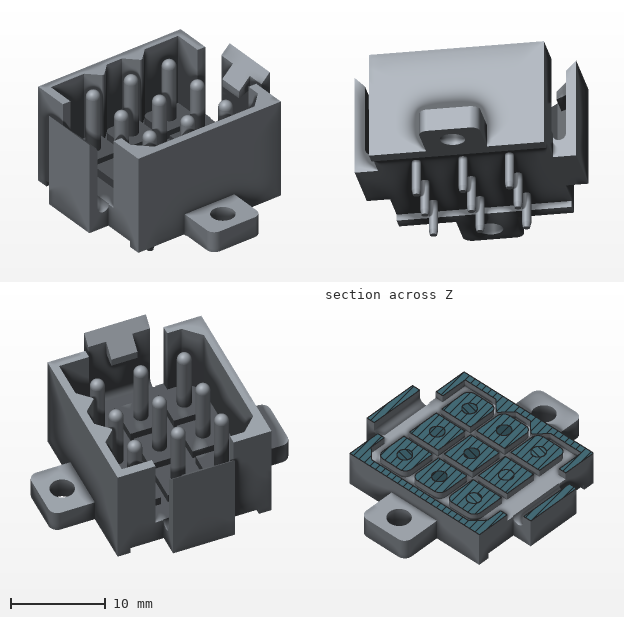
import cadquery as cq

body_x = 17.7
body_y = 18.8
body_top = 11.8
relief_height = 0.7
relief_width = 14.8

end_wall = 0.9
side_wall = 1.0
cavity_x = body_x - 2 * end_wall
cavity_y = body_y - 2 * side_wall
floor_z = 3.4
corner_chamfer = 1.8
lower_corner_chamfer = 1.4
window_width = 9.0

pitch = 5.0
grid = [-pitch, 0, pitch]
pad_size = 4.2
pad_height = 1.0
pad_radius = 0.9
pad_top = floor_z + pad_height

key_base = 3.0
key_tip = 0.2
key_depth = 1.4

ear_span = 27.5
ear_width = 6.55
ear_height = 2.5
ear_radius = 1.0
ear_hole_diameter = 2.7
ear_hole_spacing = 22.4

latch_reach = 2.5
latch_width = 7.1
latch_thickness = 1.1
latch_slot_radius = 0.75
hook_width = 3.0
hook_tip_height = 0.9
hook_under_rise = 0.6
body_face = body_y / 2
latch_face = body_face + latch_reach
arm_face = latch_face - latch_thickness
hook_top = body_top - latch_reach
hook_bottom = hook_top - hook_tip_height

pin_diameter = 1.6
tail_diameter = 1.0
tail_tip_diameter = 0.75
tail_bottom = -3.2
tail_taper = 0.55
pin_shoulder_z = floor_z
pin_top = 11.6


def block(size_x, size_y, bottom, top):
    """Box centred on the Z axis between two heights."""
    return (
        cq.Workplane("XY")
        .workplane(offset=bottom)
        .rect(size_x, size_y)
        .extrude(top - bottom)
    )


def make_cavity(bottom, top, chamfer):
    """Cavity volume with both +X corners cut off."""
    return block(cavity_x, cavity_y, bottom, top).edges("|Z and >X").chamfer(chamfer)


def make_key(y):
    """Trapezoidal polarising rib that runs the full height of the cavity."""
    wall_x = -cavity_x / 2
    tip_x = wall_x + key_depth
    return (
        cq.Workplane("XY")
        .workplane(offset=floor_z)
        .polyline([
            (wall_x, y - key_base / 2),
            (tip_x, y - key_tip / 2),
            (tip_x, y + key_tip / 2),
            (wall_x, y + key_base / 2),
        ])
        .close()
        .extrude(body_top - floor_z)
    )


def make_pad(x, y):
    """Raised pad; pads of the outer columns are rounded on their outer side."""
    pad = block(pad_size, pad_size, floor_z, pad_top)
    if x < 0:
        pad = pad.edges("|Z and <X").fillet(pad_radius)
    if x > 0:
        pad = pad.edges("|Z and >X").fillet(pad_radius)
    return pad.translate((x, y, 0))


def make_ears():
    """Plate through the body whose rounded ends form both ears."""
    return block(ear_span, ear_width, 0, ear_height).edges("|Z").fillet(ear_radius)


def make_latch_arm():
    """Solid upright on the +Y side with a 45 degree top that leans towards the socket."""
    return (
        cq.Workplane("YZ")
        .polyline([
            (body_face, relief_height),
            (latch_face, relief_height),
            (latch_face, body_top),
            (body_face, hook_top),
        ])
        .close()
        .extrude(latch_width / 2, both=True)
    )


def make_latch_slot():
    """Round-bottomed slot that frees the arm from the body."""
    slot_back = arm_face - 2 * latch_slot_radius
    return (
        cq.Workplane("YZ")
        .moveTo(arm_face, body_top)
        .lineTo(arm_face, floor_z)
        .threePointArc(
            (arm_face - latch_slot_radius, floor_z - latch_slot_radius),
            (slot_back, floor_z),
        )
        .lineTo(slot_back, body_top)
        .close()
        .extrude(latch_width / 2, both=True)
    )


def make_latch_hook():
    """Hook that reaches from the arm back to the body face, under the same slope."""
    return (
        cq.Workplane("YZ")
        .polyline([
            (arm_face, body_top - latch_thickness),
            (body_face, hook_top),
            (body_face, hook_bottom),
            (arm_face, hook_bottom + hook_under_rise),
        ])
        .close()
        .extrude(hook_width / 2, both=True)
    )


def make_pin():
    """Turned contact pin on the Z axis: tapered tail, thicker shank and round nose."""
    pin_radius = pin_diameter / 2
    tail_radius = tail_diameter / 2
    return (
        cq.Workplane("XZ")
        .moveTo(0, tail_bottom)
        .lineTo(tail_tip_diameter / 2, tail_bottom)
        .lineTo(tail_radius, tail_bottom + tail_taper)
        .lineTo(tail_radius, pin_shoulder_z)
        .lineTo(pin_radius, pin_shoulder_z)
        .lineTo(pin_radius, pin_top - pin_radius)
        .radiusArc((0, pin_top), -pin_radius)
        .close()
        .revolve(360, (0, 0, 0), (0, 1, 0))
    )


def make_housing(pins):
    """Housing with all its details and a matching hole for every pin."""
    housing = block(body_x, body_y, 0, body_top)
    housing = housing.union(make_ears())
    housing = housing.cut(block(relief_width, body_y, 0, relief_height))
    housing = housing.cut(make_cavity(floor_z, pad_top, lower_corner_chamfer))
    housing = housing.cut(make_cavity(pad_top, body_top, corner_chamfer))
    housing = housing.cut(block(window_width, body_y, floor_z, body_top))

    for y in (-pitch / 2, pitch / 2):
        housing = housing.union(make_key(y))
    for x in grid:
        for y in grid:
            housing = housing.union(make_pad(x, y))

    arm = make_latch_arm()
    slot = make_latch_slot()
    hook = make_latch_hook()
    housing = housing.union(arm).union(arm.mirror("XZ"))
    housing = housing.cut(slot).cut(slot.mirror("XZ"))
    housing = housing.union(hook).union(hook.mirror("XZ"))

    ear_holes = (
        cq.Workplane("XY")
        .pushPoints([(-ear_hole_spacing / 2, 0), (ear_hole_spacing / 2, 0)])
        .circle(ear_hole_diameter / 2)
        .extrude(ear_height)
    )
    housing = housing.cut(ear_holes)
    for pin in pins:
        housing = housing.cut(pin)
    return housing


pins = [make_pin().translate((x, y, 0)) for x in grid for y in grid]
housing = make_housing(pins)

result = cq.Compound.makeCompound([housing.val(), *[pin.val() for pin in pins]])